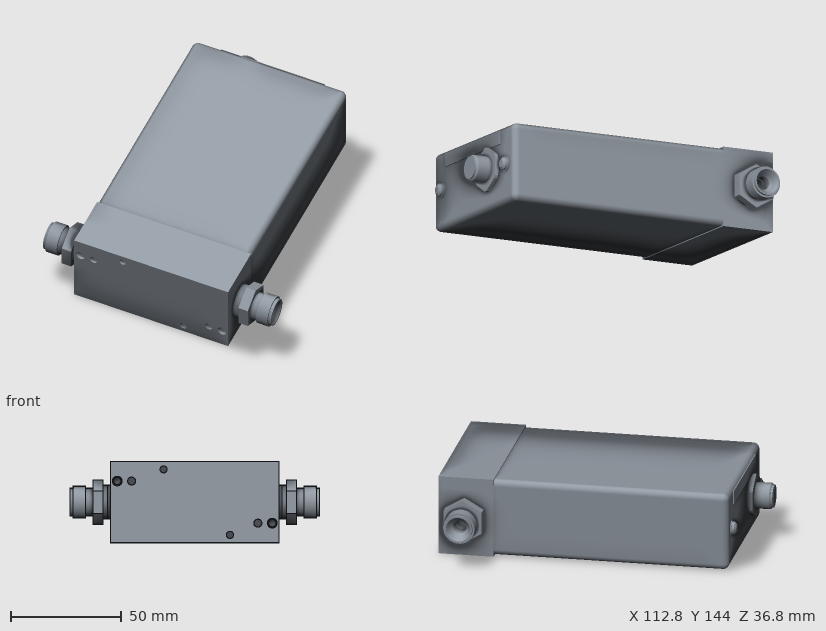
import cadquery as cq


BLOCK_WIDTH = 76.2
BLOCK_DEPTH = 25.4
BLOCK_HEIGHT = 36.83

HOLE_DEPTH = 8.0
TAPPED_X = 35.0
SIDE_HOLE_Z = 9.5
TAPPED_THREAD_RADIUS = 2.15
TAPPED_THREAD_DEPTH = 6.0
TAPPED_DRILL_RADIUS = 1.65
TAPPED_TIP_LENGTH = 1.0
DOWEL_X = 28.5
DOWEL_RADIUS = 1.8
MOUNT_RADIUS = 1.6
MOUNT_CENTRES = [(-14.1, 14.8), (15.9, -14.8)]

COVER_WIDTH = 75.8
COVER_HEIGHT = 35.9
COVER_CENTRE_X = -0.2
COVER_BACK_Y = 133.2
COVER_FILLET = 2.75

FITTING_Y = 12.7
FITTING_LENGTH = 18.29
SEAL_LENGTH = 1.4
COLLAR_RADIUS = 7.7
HEX_START = 3.25
HEX_END = 7.95
HEX_FLATS = 17.46
NECK_RADIUS = 6.35
THREAD_START = 11.2
THREAD_END = 16.85
THREAD_RADIUS = 7.2
CONE_MOUTH_RADIUS = 5.65
CONE_DEPTH = 4.0
COUNTERBORE_RADIUS = 3.05
COUNTERBORE_DEPTH = 9.0
BORE_RADIUS = 2.55

CONNECTOR_X = -15.9
CONNECTOR_END_Y = 144.02
FLANGE_HEIGHT = 2.6
FLANGE_FLATS = 18.2
FLANGE_CORNER_RADIUS = 10.1
FLANGE_BASE_RADIUS = 8.5
FLANGE_CHAMFER_HEIGHT = 1.1
BARREL_RADIUS = 6.0
BARREL_CHAMFER = 0.6
TIP_RADIUS = 5.2
TIP_LENGTH = 0.8

SCREW_X = 30.2
SCREW_FLANGE_RADIUS = 3.4
SCREW_FLANGE_HEIGHT = 0.5
SCREW_HEAD_RADIUS = 2.9
SCREW_SIDE_HEIGHT = 1.7
SCREW_HEAD_HEIGHT = 2.6
SCREW_TOP_RADIUS = 1.7

PLATE_WIDTH = 51.5
PLATE_CENTRE_X = 0.4
PLATE_THICKNESS = 0.5
PLATE_TOP_Z = 16.3
PLATE_BOTTOM_Z = FLANGE_CORNER_RADIUS


def front_hole(x, z, radius, depth):
    """A cylinder running into the block from its front face."""
    return cq.Workplane("XZ", origin=(x, 0, z)).circle(radius).extrude(-depth)


def tapped_hole(x, z):
    """A threaded hole, its narrower drill hole and the drill's conical tip."""
    tip_y = HOLE_DEPTH + TAPPED_TIP_LENGTH
    return (
        cq.Workplane("XY", origin=(x, 0, z))
        .polyline([
            (0, 0),
            (TAPPED_THREAD_RADIUS, 0),
            (TAPPED_THREAD_RADIUS, TAPPED_THREAD_DEPTH),
            (TAPPED_DRILL_RADIUS, TAPPED_THREAD_DEPTH),
            (TAPPED_DRILL_RADIUS, HOLE_DEPTH),
            (0, tip_y),
        ])
        .close()
        .revolve(360, (0, 0, 0), (0, 1, 0))
    )


def make_block():
    """A box with matching front holes on opposite sides of the centre, and two mounting holes."""
    block = cq.Workplane("XY").box(
        BLOCK_WIDTH, BLOCK_DEPTH, BLOCK_HEIGHT, centered=(True, False, True)
    )
    for side in (-1, 1):
        hole_z = -side * SIDE_HOLE_Z
        block = block.cut(tapped_hole(side * TAPPED_X, hole_z))
        block = block.cut(front_hole(side * DOWEL_X, hole_z, DOWEL_RADIUS, HOLE_DEPTH))
    for x, z in MOUNT_CENTRES:
        block = block.cut(front_hole(x, z, MOUNT_RADIUS, HOLE_DEPTH))
    return block


def make_cover():
    """A box with every edge rounded except those against the block."""
    return (
        cq.Workplane("XY", origin=(COVER_CENTRE_X, BLOCK_DEPTH, 0))
        .box(COVER_WIDTH, COVER_BACK_Y - BLOCK_DEPTH, COVER_HEIGHT, centered=(True, False, True))
        .edges("|Y or >Y")
        .fillet(COVER_FILLET)
    )


def side_plane(side):
    """A plane on one side face of the block, at the fitting axis, facing outward."""
    return cq.Workplane(cq.Plane(
        origin=(side * BLOCK_WIDTH / 2, FITTING_Y, 0), xDir=(0, 1, 0), normal=(side, 0, 0)
    ))


def make_seal(side):
    """A flat ring between the block and a fitting."""
    return side_plane(side).circle(COLLAR_RADIUS).circle(BORE_RADIUS).extrude(SEAL_LENGTH)


def make_fitting(side):
    """Collar, hexagon, neck, threaded end and rim, with a conical mouth and a stepped bore."""

    def section(start, end, radius):
        return side_plane(side).workplane(offset=start).circle(radius).extrude(end - start)

    hexagon = (
        side_plane(side)
        .workplane(offset=HEX_START)
        .polygon(6, HEX_FLATS, circumscribed=True)
        .extrude(HEX_END - HEX_START)
    )
    mouth = (
        side_plane(side)
        .workplane(offset=FITTING_LENGTH - CONE_DEPTH)
        .circle(COUNTERBORE_RADIUS)
        .workplane(offset=CONE_DEPTH)
        .circle(CONE_MOUTH_RADIUS)
        .loft()
    )
    return (
        section(SEAL_LENGTH, HEX_START, COLLAR_RADIUS)
        .union(hexagon)
        .union(section(HEX_END, FITTING_LENGTH, NECK_RADIUS))
        .union(section(THREAD_START, THREAD_END, THREAD_RADIUS))
        .cut(mouth)
        .cut(section(FITTING_LENGTH - COUNTERBORE_DEPTH, FITTING_LENGTH, COUNTERBORE_RADIUS))
        .cut(section(SEAL_LENGTH, FITTING_LENGTH, BORE_RADIUS))
    )


def turned_on_cover(x, outline):
    """Revolve (radius, height) points about an axis along Y standing on the back of the cover."""
    return (
        cq.Workplane("XY", origin=(x, COVER_BACK_Y, 0))
        .polyline(outline)
        .close()
        .revolve(360, (0, 0, 0), (0, 1, 0))
    )


def make_connector():
    """Hexagonal flange with trimmed corners and a chamfered underside, and a stepped round barrel."""
    flange_envelope = turned_on_cover(CONNECTOR_X, [
        (0, 0),
        (FLANGE_BASE_RADIUS, 0),
        (FLANGE_CORNER_RADIUS, FLANGE_CHAMFER_HEIGHT),
        (FLANGE_CORNER_RADIUS, FLANGE_HEIGHT),
        (0, FLANGE_HEIGHT),
    ])
    flange = (
        cq.Workplane("XZ", origin=(CONNECTOR_X, COVER_BACK_Y, 0))
        .polygon(6, FLANGE_FLATS, circumscribed=True)
        .extrude(-FLANGE_HEIGHT)
        .intersect(flange_envelope)
    )
    end_height = CONNECTOR_END_Y - COVER_BACK_Y
    shoulder_height = end_height - TIP_LENGTH
    barrel = turned_on_cover(CONNECTOR_X, [
        (0, 0),
        (BARREL_RADIUS, 0),
        (BARREL_RADIUS, shoulder_height - BARREL_CHAMFER),
        (BARREL_RADIUS - BARREL_CHAMFER, shoulder_height),
        (TIP_RADIUS, shoulder_height),
        (TIP_RADIUS, end_height),
        (0, end_height),
    ])
    return flange.union(barrel)


def make_screw(side):
    """A thin flange and a head with a conical top."""
    return turned_on_cover(COVER_CENTRE_X + side * SCREW_X, [
        (0, 0),
        (SCREW_FLANGE_RADIUS, 0),
        (SCREW_FLANGE_RADIUS, SCREW_FLANGE_HEIGHT),
        (SCREW_HEAD_RADIUS, SCREW_FLANGE_HEIGHT),
        (SCREW_HEAD_RADIUS, SCREW_SIDE_HEIGHT),
        (SCREW_TOP_RADIUS, SCREW_HEAD_HEIGHT),
        (0, SCREW_HEAD_HEIGHT),
    ])


def make_plate():
    """A thin rectangle lying flat on the back of the cover, clear of the connector flange."""
    return cq.Workplane("XY", origin=(PLATE_CENTRE_X, COVER_BACK_Y, PLATE_BOTTOM_Z)).box(
        PLATE_WIDTH, PLATE_THICKNESS, PLATE_TOP_Z - PLATE_BOTTOM_Z, centered=(True, False, False)
    )


bodies = [make_block().val(), make_cover().val(), make_connector().val(), make_plate().val()]
for side in (-1, 1):
    bodies.append(make_seal(side).val())
    bodies.append(make_fitting(side).val())
    bodies.append(make_screw(side).val())

result = cq.Compound.makeCompound(bodies)